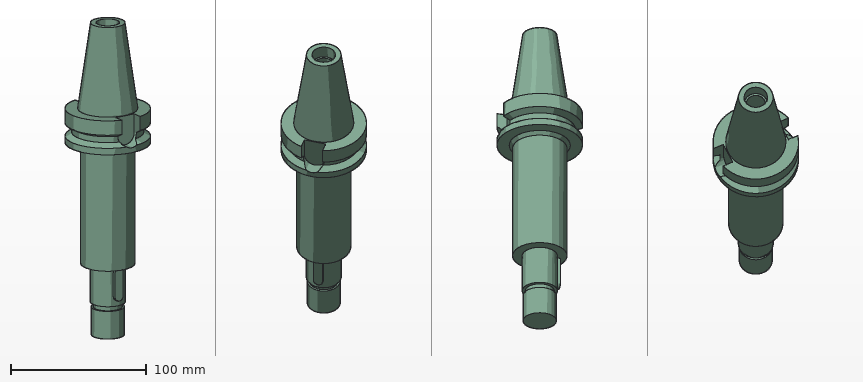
import cadquery as cq

total_height = 240.5
nose_top = 21.5
relief_top = 25.2
pilot_top = 54.8
body_top = 145.5
rim_bottom = 148.0
rim_top = 153.1
groove_bottom = 156.0
groove_top = 160.5
flange_bottom = 163.2
flange_top = 174.3
taper_base = 175.0

nose_diameter = 24.5
relief_diameter = 21.5
pilot_diameter = 26.0
body_diameter = 40.1
collar_diameter = 45.0
rim_diameter = 63.0
groove_diameter = 53.1
taper_large_diameter = 44.2
taper_small_diameter = 25.5

bore_diameter = 17.0
bore_depth = 9.4
inner_bore_diameter = 14.0
inner_bore_depth = 30.0

slot_width = 16.3
slot_depth = 22.4
slot_floor_x = 22.5

key_width = 7.2
key_length = 25.5
key_outer_x = 15.0
key_root_x = 9.5


def make_turned_body():
    """Revolve the half profile of the holder about Z."""
    stations = [
        (0, 0),
        (nose_diameter, 0),
        (nose_diameter, nose_top),
        (relief_diameter, nose_top),
        (relief_diameter, relief_top),
        (pilot_diameter, relief_top),
        (pilot_diameter, pilot_top),
        (body_diameter, pilot_top),
        (body_diameter, body_top),
        (collar_diameter, rim_bottom),
        (rim_diameter, rim_bottom),
        (rim_diameter, rim_top),
        (groove_diameter, groove_bottom),
        (groove_diameter, groove_top),
        (rim_diameter, flange_bottom),
        (rim_diameter, flange_top),
        (taper_large_diameter, flange_top),
        (taper_large_diameter, taper_base),
        (taper_small_diameter, total_height),
        (0, total_height),
    ]
    profile = [(diameter / 2, height) for diameter, height in stations]
    return cq.Workplane("XZ").polyline(profile).close().revolve(360, (0, 0), (0, 1))


def make_bore(diameter, depth):
    """Cutter for a flat-bottomed hole in the top face."""
    return cq.Workplane("XY", origin=(0, 0, total_height)).circle(diameter / 2).extrude(-depth)


def make_drive_slot():
    """Cutter for the +X slot, open at the top with a full round bottom."""
    radius = slot_width / 2
    bottom = flange_top - slot_depth
    return (
        cq.Workplane("YZ", origin=(slot_floor_x, 0, 0))
        .moveTo(-radius, flange_top)
        .lineTo(-radius, bottom + radius)
        .threePointArc((0, bottom), (radius, bottom + radius))
        .lineTo(radius, flange_top)
        .close()
        .extrude(rim_diameter / 2)
    )


def make_key():
    """Key with its upper end against the shoulder of the body."""
    return (
        cq.Workplane("YZ", origin=(key_root_x, 0, pilot_top - key_length / 2))
        .slot2D(key_length, key_width, 90)
        .extrude(key_outer_x - key_root_x)
    )


result = make_turned_body()
result = result.cut(make_bore(bore_diameter, bore_depth))
result = result.cut(make_bore(inner_bore_diameter, inner_bore_depth))
for slot_angle in (0, 180):
    result = result.cut(make_drive_slot().rotate((0, 0, 0), (0, 0, 1), slot_angle))
result = result.union(make_key())